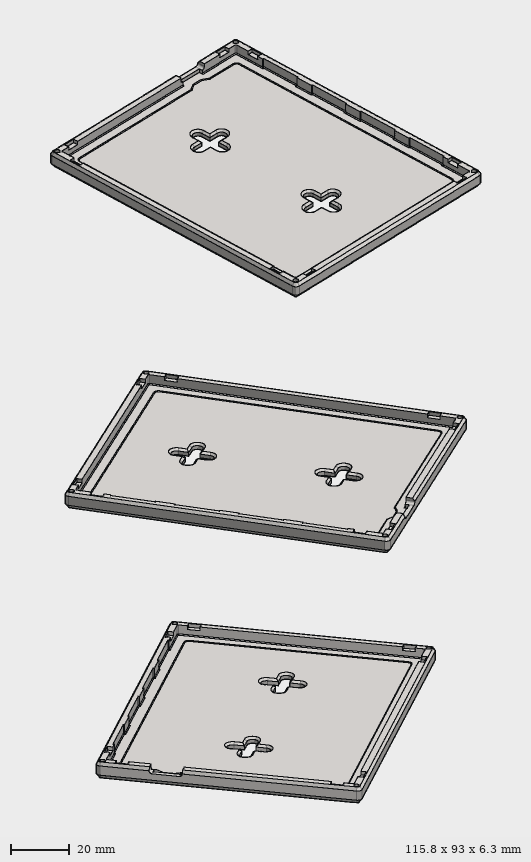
import cadquery as cq
import math

LENGTH = 115.8
WIDTH = 93.0
HEIGHT = 6.3
CORNER_RADIUS = 1.6
TOP_BEVEL_INSET = 0.8
TOP_BEVEL_HEIGHT = 1.2
BASE_BEVEL_INSET = 1.3
BASE_BEVEL_HEIGHT = 1.6

WALL = 3.1
FLOOR_Z = 2.5
FOOT_BEVEL = 0.3
CAVITY_RADIUS = 0.5

PANEL_MARGIN = 6.6
PANEL_SLOPE_WIDTH = 0.3
PANEL_DEPTH = 0.2
PANEL_RADIUS = 1.7

NOTCH_Y = 21.9
NOTCH_WIDTH = 11.6
NOTCH_DEPTH = 2.2
NOTCH_RADIUS = 1.0
LIP_THICKNESS = 1.7
BULGE_REACH = 1.5
BULGE_BASE = 9.3
BULGE_TIP = 4.2

RELIEF_COUNT = 4
RELIEF_PITCH = 22.8
RELIEF_LENGTH = 16.0
RELIEF_DEPTH = 0.5

SNAP_LENGTH = 4.4
SNAP_DEPTH = 1.4
SNAP_MARGIN = 1.3
SNAP_X = 46.8
SNAP_Y = 37.6
PIN_DIAMETER = 1.9
PIN_INSET = 2.1

CROSS_X = 26.1
CROSS_SPAN = 15.3
CROSS_ARM = 3.9
CROSS_BEVEL = 0.8

HALF_LENGTH = LENGTH / 2
HALF_WIDTH = WIDTH / 2
PANEL_Z = FLOOR_Z - PANEL_DEPTH


def box(x_min, x_max, y_min, y_max, z_min, z_max):
    """Axis-aligned block between the given limits."""
    size = (x_max - x_min, y_max - y_min, z_max - z_min)
    return cq.Workplane("XY").box(*size, centered=False).translate((x_min, y_min, z_min))


def rounded_plate(inset, radius, z):
    """Flat outline at height z: the outer rectangle shrunk by inset, with rounded corners."""
    sketch = cq.Sketch().rect(LENGTH - 2 * inset, WIDTH - 2 * inset).vertices().fillet(radius)
    return cq.Workplane("XY", origin=(0, 0, z)).placeSketch(sketch)


def bevel_angle(inset, height):
    """Lean from vertical, in degrees, of a bevel that moves in by inset over height."""
    return math.degrees(math.atan2(inset, height))


def tray_body():
    """Solid slab with a leaning bevel all round its base and its top."""
    middle_height = HEIGHT - BASE_BEVEL_HEIGHT - TOP_BEVEL_HEIGHT
    top_bevel_z = HEIGHT - TOP_BEVEL_HEIGHT
    middle = rounded_plate(0, CORNER_RADIUS, BASE_BEVEL_HEIGHT).extrude(middle_height)
    top = rounded_plate(0, CORNER_RADIUS, top_bevel_z).extrude(
        TOP_BEVEL_HEIGHT, taper=bevel_angle(TOP_BEVEL_INSET, TOP_BEVEL_HEIGHT)
    )
    base = rounded_plate(0, CORNER_RADIUS, 0).extrude(
        BASE_BEVEL_HEIGHT, taper=bevel_angle(BASE_BEVEL_INSET, BASE_BEVEL_HEIGHT)
    )
    base = base.mirror("XY").translate((0, 0, BASE_BEVEL_HEIGHT))
    return middle.union(top).union(base)


def cavity():
    """Space inside the rim, including the reliefs of the +Y wall and the beveled wall foot."""
    x_wall = HALF_LENGTH - WALL
    y_wall = HALF_WIDTH - WALL
    space = box(-x_wall, x_wall, -y_wall, y_wall, FLOOR_Z, HEIGHT)
    space = space.edges("|Z").fillet(CAVITY_RADIUS)
    for index in range(RELIEF_COUNT):
        x = (index - (RELIEF_COUNT - 1) / 2) * RELIEF_PITCH
        half = RELIEF_LENGTH / 2
        space = space.union(box(x - half, x + half, 0, y_wall + RELIEF_DEPTH, FLOOR_Z, HEIGHT))
    return space.faces("<Z").chamfer(FOOT_BEVEL)


def panel_recess():
    """Shallow recess with sloped sides, plus a tapering bulge toward the thumb notch."""
    slope = bevel_angle(PANEL_SLOPE_WIDTH, PANEL_DEPTH)
    panel = rounded_plate(PANEL_MARGIN, PANEL_RADIUS, FLOOR_Z).extrude(-PANEL_DEPTH, taper=slope)
    base_x = -HALF_LENGTH + PANEL_MARGIN
    root_x = base_x + PANEL_RADIUS
    tip_x = base_x - BULGE_REACH
    bulge = (
        cq.Workplane("XY", origin=(0, NOTCH_Y, FLOOR_Z))
        .moveTo(root_x, -BULGE_BASE / 2)
        .lineTo(base_x, -BULGE_BASE / 2)
        .lineTo(tip_x, -BULGE_TIP / 2)
        .lineTo(tip_x, BULGE_TIP / 2)
        .lineTo(base_x, BULGE_BASE / 2)
        .lineTo(root_x, BULGE_BASE / 2)
        .close()
        .extrude(-PANEL_DEPTH, taper=slope)
    )
    return panel.union(bulge)


def thumb_notch():
    """Opening in the top of the -X wall, cut to floor level behind a thin outer lip."""
    y_min = NOTCH_Y - NOTCH_WIDTH / 2
    y_max = NOTCH_Y + NOTCH_WIDTH / 2
    notch = box(-HALF_LENGTH, -HALF_LENGTH + WALL, y_min, y_max, HEIGHT - NOTCH_DEPTH, HEIGHT)
    notch = notch.edges("|X and <Z").fillet(NOTCH_RADIUS)
    lip_x = -HALF_LENGTH + LIP_THICKNESS
    inner_x = -HALF_LENGTH + WALL + FOOT_BEVEL
    y_min += NOTCH_RADIUS
    y_max -= NOTCH_RADIUS
    return notch.union(box(lip_x, inner_x, y_min, y_max, FLOOR_Z, HEIGHT))


def snap_pockets():
    """Two pockets per wall, open to the top and to the cavity."""
    half = SNAP_LENGTH / 2
    z = HEIGHT - SNAP_DEPTH
    x_out = HALF_LENGTH - SNAP_MARGIN
    y_out = HALF_WIDTH - SNAP_MARGIN
    x_in = HALF_LENGTH - WALL
    y_in = HALF_WIDTH - WALL
    along_x = box(SNAP_X - half, SNAP_X + half, y_in, y_out, z, HEIGHT)
    along_y = box(x_in, x_out, SNAP_Y - half, SNAP_Y + half, z, HEIGHT)
    quarter = along_x.union(along_y)
    pair = quarter.union(quarter.mirror("YZ"))
    return pair.union(pair.mirror("XZ"))


def pin_holes():
    """One through hole in each corner of the rim."""
    spacing = (LENGTH - 2 * PIN_INSET, WIDTH - 2 * PIN_INSET)
    centers = cq.Workplane("XY").rect(*spacing, forConstruction=True).vertices()
    return centers.circle(PIN_DIAMETER / 2).extrude(HEIGHT)


def slot_cross(span, arm, z, height, taper=0):
    """Prism of two crossing round-ended slots that starts at z; a taper makes its sides lean."""
    plane = cq.Workplane("XY", origin=(0, 0, z))
    along_x = plane.slot2D(span, arm).extrude(height, taper=taper)
    along_y = plane.slot2D(span, arm, 90).extrude(height, taper=taper)
    return along_x.union(along_y)


def cross_opening():
    """Through opening with a 45 degree bevel around its upper edge."""
    mouth_span = CROSS_SPAN + 2 * CROSS_BEVEL
    mouth_arm = CROSS_ARM + 2 * CROSS_BEVEL
    through = slot_cross(CROSS_SPAN, CROSS_ARM, 0, PANEL_Z)
    mouth = slot_cross(mouth_span, mouth_arm, PANEL_Z, -CROSS_BEVEL, taper=45)
    return through.union(mouth)


result = tray_body()
for cutter in (cavity(), panel_recess(), thumb_notch(), snap_pockets(), pin_holes()):
    result = result.cut(cutter)
for cross_x in (-CROSS_X, CROSS_X):
    result = result.cut(cross_opening().translate((cross_x, 0, 0)))